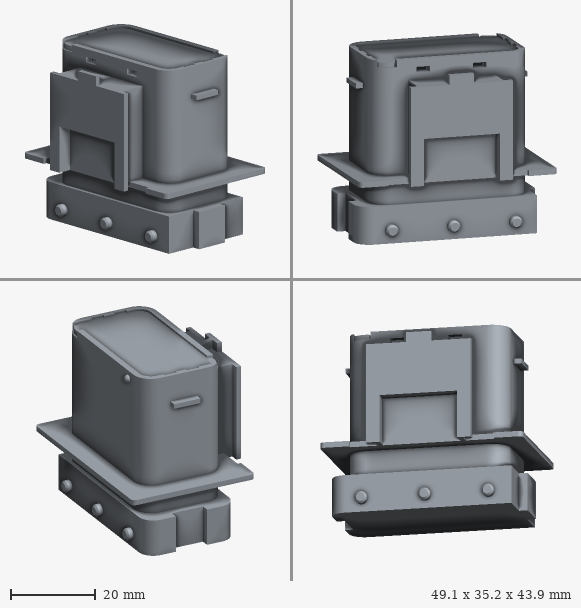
import cadquery as cq

base_left = -23.3
base_right = 20.85
base_depth = 24.0
base_height = 9.15
base_corner_radius = 3.85
key_width = 8.35
key_length = 2.05

pin_pitch = 15.35
pin_height = 3.25
pin_radius = 1.45
pin_chamfer = 0.45
pin_tip_span = 27.3

total_height = 43.9
body_width = 38.9
body_depth = 21.95
body_corner_radius = 4.55

rim_width_x = 1.5
rim_width_y = 1.55
recess_depth = 0.55
recess_corner_radius = 2.95
insert_z = total_height - recess_depth
key_recess_depth = 0.6
key_recess_near = 1.37
key_recess_far = 4.65

corner_cut_depth = 1.75
corner_cut_x_outer = body_width / 2 - rim_width_x
corner_cut_x_inner = 13.55
corner_cut_y_inner = 8.35
corner_gap = 0.3
corner_skin = 0.45
corner_fillet = 0.6

plate_width = 49.1
plate_depth = 32.7
plate_thickness = 1.35
plate_bottom = 14.95
plate_corner_radius = 1.15
plate_notch_width = 34.85
plate_notch_depth = 0.95
plate_notch_y = -plate_depth / 2 + plate_notch_depth

latch_front_y = -18.9
latch_face_width = 25.35
latch_face_thickness = 1.3
latch_face_back_y = latch_front_y + latch_face_thickness
latch_block_width = 21.3
latch_top = 38.85
latch_tab_width = 6.1
latch_tab_top = 41.2
latch_rib_width = 1.35
latch_window_width = 18.8
latch_window_top = 26.25

side_tab_span = 42.55
side_tab_depth = 7.05
side_tab_bottom = 36.05
side_tab_thickness = 1.2

snap_center_x = 7.0
snap_width = 3.4
snap_bottom = 40.6
snap_height = 1.37
snap_depth = 1.95
snap_undercut = 0.8
snap_undercut_margin = 0.35

bump_x = -12.2
bump_z = 41.8
bump_radius = 1.05


def block(x_min, x_max, y_min, y_max, z_min, z_max):
    """Axis-aligned box given by its limits."""
    size = (x_max - x_min, y_max - y_min, z_max - z_min)
    return cq.Workplane("XY").box(*size, centered=False).translate((x_min, y_min, z_min))


def centered_block(width, y_min, y_max, z_min, z_max):
    """Box that is symmetric about X = 0."""
    return block(-width / 2, width / 2, y_min, y_max, z_min, z_max)


def rounded_prism(width, depth, radius, z_min, z_max):
    """Rectangular prism on the Z axis with rounded vertical edges."""
    prism = centered_block(width, -depth / 2, depth / 2, z_min, z_max)
    return prism.edges("|Z").fillet(radius)


def make_base():
    half_depth = base_depth / 2
    half_key = key_width / 2
    base = block(base_left, base_right, -half_depth, half_depth, 0, base_height)
    base = base.edges("|Z and <X").fillet(base_corner_radius)
    slot = block(base_left, base_left + key_length, -half_key, half_key, 0, base_height)
    tongue = block(base_right, base_right + key_length, -half_key, half_key, 0, base_height)
    base = base.cut(slot).union(tongue)
    for x in (-pin_pitch, 0, pin_pitch):
        pin = cq.Workplane("XZ", origin=(x, 0, pin_height)).circle(pin_radius)
        pin = pin.extrude(pin_tip_span / 2, both=True)
        base = base.union(pin.faces("<Y or >Y").chamfer(pin_chamfer))
    return base


def make_top_recess():
    """Recess inside the rim, square at the two cut corners, with two key recesses in each short side."""
    width = body_width - 2 * rim_width_x
    depth = body_depth - 2 * rim_width_y
    recess = centered_block(width, -depth / 2, depth / 2, insert_z, total_height)
    recess = recess.edges(">(-1, 1, 0) or >(1, -1, 0)").fillet(recess_corner_radius)
    key_span = width + 2 * key_recess_depth
    for y_min, y_max in ((-key_recess_far, -key_recess_near), (key_recess_near, key_recess_far)):
        recess = recess.union(centered_block(key_span, y_min, y_max, insert_z, total_height))
    return recess


def make_corner_cut():
    """Material removed at the front left corner: the rim and a thin gap around the insert."""
    floor = total_height - corner_cut_depth
    y_outer = -body_depth / 2
    cut = block(-corner_cut_x_outer, -corner_cut_x_inner, y_outer, -corner_cut_y_inner,
                floor, total_height)
    insert = block(-corner_cut_x_outer + corner_gap, -corner_cut_x_inner - corner_gap,
                   y_outer + corner_skin, -corner_cut_y_inner, floor, insert_z)
    insert = insert.edges("|Z and >X and <Y").fillet(corner_fillet)
    rim_inner_y = y_outer + rim_width_y
    insert = insert.union(block(-corner_cut_x_outer + corner_gap, -corner_cut_x_inner,
                                rim_inner_y, -corner_cut_y_inner, floor, insert_z))
    inner_outline = rounded_prism(body_width - 2 * corner_skin, body_depth - 2 * corner_skin,
                                  body_corner_radius - corner_skin, floor, insert_z)
    return cut.cut(insert.intersect(inner_outline))


def make_snap_window(center_x):
    """Blind window in the front wall with an undercut at the foot of its back face."""
    front_y = -body_depth / 2
    back_y = front_y + snap_depth
    half = snap_width / 2
    window = block(center_x - half, center_x + half, front_y, back_y,
                   snap_bottom, snap_bottom + snap_height)
    undercut_half = half - snap_undercut_margin
    undercut = (
        cq.Workplane("YZ", origin=(center_x - undercut_half, 0, 0))
        .moveTo(back_y, snap_bottom)
        .lineTo(back_y + snap_undercut, snap_bottom)
        .lineTo(back_y, snap_bottom + snap_undercut)
        .close()
        .extrude(2 * undercut_half)
    )
    return window.union(undercut)


def make_body():
    body = rounded_prism(body_width, body_depth, body_corner_radius, base_height, total_height)
    body = body.cut(make_top_recess())
    corner_cut = make_corner_cut()
    for angle in (0, 180):
        body = body.cut(corner_cut.rotate((0, 0, 0), (0, 0, 1), angle))
    for side in (-1, 1):
        body = body.cut(make_snap_window(side * snap_center_x))
    side_tabs = centered_block(side_tab_span, -side_tab_depth / 2, side_tab_depth / 2,
                               side_tab_bottom, side_tab_bottom + side_tab_thickness)
    bump = cq.Workplane("XY").sphere(bump_radius).translate((bump_x, body_depth / 2, bump_z))
    return body.union(side_tabs).union(bump)


def make_plate():
    plate = rounded_prism(plate_width, plate_depth, plate_corner_radius,
                          plate_bottom, plate_bottom + plate_thickness)
    notch = centered_block(plate_notch_width, -plate_depth / 2, plate_notch_y,
                           plate_bottom, plate_bottom + plate_thickness)
    return plate.cut(notch)


def make_latch():
    body_front_y = -body_depth / 2
    face = centered_block(latch_face_width, latch_front_y, latch_face_back_y, plate_bottom, latch_top)
    stem = centered_block(latch_block_width, latch_face_back_y, body_front_y, plate_bottom, latch_top)
    tab = centered_block(latch_tab_width, latch_front_y, latch_face_back_y, latch_top, latch_tab_top)
    rib = (
        cq.Workplane("YZ")
        .moveTo(body_front_y, latch_top)
        .lineTo(latch_face_back_y, latch_top)
        .lineTo(latch_face_back_y, latch_tab_top)
        .close()
        .extrude(latch_rib_width / 2, both=True)
    )
    window = centered_block(latch_window_width, latch_front_y, plate_notch_y,
                            plate_bottom, latch_window_top)
    return face.union(stem).union(tab).union(rib).cut(window)


result = make_base().union(make_body()).union(make_plate()).union(make_latch())